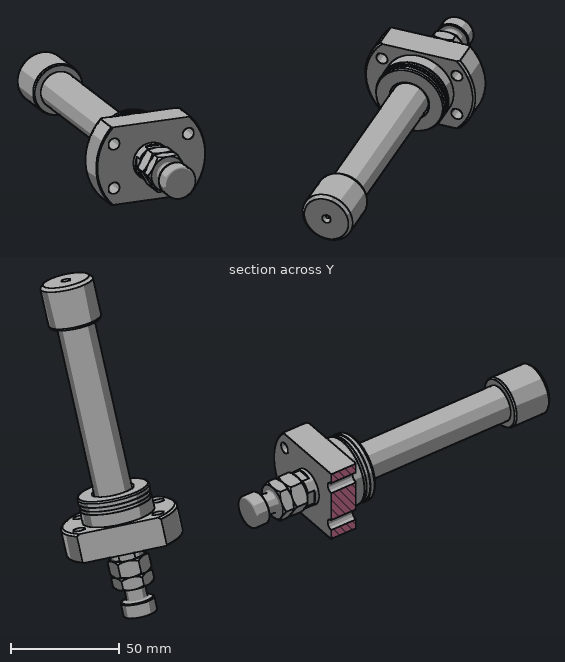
import cadquery as cq
import math


piston_diameter = 25.0
piston_length = 20.5
piston_chamfer = 1.5
piston_back_chamfer_length = 1.0
piston_back_chamfer_depth = 0.5
rod_diameter = 18.0
rod_end = 135.0
rod_shoulder = 129.9
shoulder_taper = 1.0
wrench_diameter = 17.6
wrench_across_flats = 16.0
rod_end_chamfer = 0.5
center_hole_mouth = 4.2
center_hole_diameter = 2.0
center_hole_angle = 60
center_pilot_length = 2.0
drill_tip_angle = 120

spigot_diameter = 34.0
spigot_start = 102.5
spigot_chamfer_length = 0.9
spigot_chamfer_depth = 0.5
groove_start = 105.5
groove_end = 107.4
groove_depth = 0.5
land_end = 108.9
land_depth = 0.25
bore_chamfer = 1.0
flange_start = 114.9
flange_thickness = 14.0
flange_diameter = 55.0
flange_height = 38.0
flange_front_chamfer = 1.0
flange_back_chamfer = 0.5
bolt_circle_diameter = 43.0
bolt_hole_diameter = 5.5
bolt_hole_angle = 30

hex_across_flats = 17.0
rear_hex_length = 8.0
front_hex_length = 6.0
hex_chamfer_length = 1.0
neck_diameter = 10.0
neck_fillet = 1.0
head_diameter = 16.0
head_start = 155.8
head_end = 163.0
head_back_chamfer = 0.5
head_front_fillet = 1.0


def cylinder_x(diameter, start, end):
    """Solid cylinder on the X axis between two stations."""
    return cq.Workplane("YZ", origin=(start, 0, 0)).circle(diameter / 2).extrude(end - start)


def revolve_profile(points):
    """Solid of revolution about X from (x, radius) points."""
    return cq.Workplane("XY").polyline(points).close().revolve(360, (0, 0, 0), (1, 0, 0))


def make_center_hole():
    """Cutter for the lathe centre hole in the piston face."""
    mouth_radius = center_hole_mouth / 2
    radius = center_hole_diameter / 2
    cone_end = (mouth_radius - radius) / math.tan(math.radians(center_hole_angle / 2))
    pilot_end = cone_end + center_pilot_length
    tip = pilot_end + radius / math.tan(math.radians(drill_tip_angle / 2))
    return revolve_profile([(0, 0), (0, mouth_radius), (cone_end, radius), (pilot_end, radius), (tip, 0)])


def make_piston_rod():
    piston_radius = piston_diameter / 2
    piston = revolve_profile([
        (0, 0),
        (0, piston_radius - piston_chamfer),
        (piston_chamfer, piston_radius),
        (piston_length - piston_back_chamfer_length, piston_radius),
        (piston_length, piston_radius - piston_back_chamfer_depth),
        (piston_length, 0),
    ])
    shaft = cylinder_x(rod_diameter, piston_length, rod_shoulder)

    flats_start = rod_shoulder + shoulder_taper
    taper = revolve_profile([
        (rod_shoulder, 0),
        (rod_shoulder, rod_diameter / 2),
        (flats_start, wrench_diameter / 2),
        (flats_start, 0),
    ])
    wrench_section = cylinder_x(wrench_diameter, flats_start, rod_end).faces(">X").chamfer(rod_end_chamfer)
    square = cq.Workplane("YZ", origin=(flats_start, 0, 0)).rect(wrench_across_flats, wrench_across_flats)
    wrench_section = wrench_section.intersect(square.extrude(rod_end - flats_start))

    rod = piston.union(shaft).union(taper).union(wrench_section)
    return rod.cut(make_center_hole())


def make_flange():
    """Round flange with chamfered rims, trimmed flat above and below, with four bolt holes."""
    flange_end = flange_start + flange_thickness
    flange = cylinder_x(flange_diameter, flange_start, flange_end)
    flange = flange.faces("<X").chamfer(flange_front_chamfer)
    flange = flange.faces(">X").chamfer(flange_back_chamfer)
    slab = cq.Workplane("YZ", origin=(flange_start, 0, 0)).rect(flange_diameter, flange_height)
    flange = flange.intersect(slab.extrude(flange_thickness))

    hole_y = bolt_circle_diameter / 2 * math.cos(math.radians(bolt_hole_angle))
    hole_z = bolt_circle_diameter / 2 * math.sin(math.radians(bolt_hole_angle))
    holes = (
        cq.Workplane("YZ", origin=(flange_start, 0, 0))
        .rect(2 * hole_y, 2 * hole_z, forConstruction=True)
        .vertices()
        .circle(bolt_hole_diameter / 2)
        .extrude(flange_thickness)
    )
    return flange.cut(holes)


def make_rod_cover():
    spigot_radius = spigot_diameter / 2
    groove_radius = spigot_radius - groove_depth
    land_radius = spigot_radius - land_depth
    spigot = revolve_profile([
        (spigot_start, 0),
        (spigot_start, spigot_radius - spigot_chamfer_depth),
        (spigot_start + spigot_chamfer_length, spigot_radius),
        (groove_start, spigot_radius),
        (groove_start, groove_radius),
        (groove_end, groove_radius),
        (groove_end, land_radius),
        (land_end, land_radius),
        (land_end, spigot_radius),
        (flange_start, spigot_radius),
        (flange_start, 0),
    ])

    bore_end = flange_start + flange_thickness
    bore_radius = rod_diameter / 2
    bore = revolve_profile([
        (spigot_start, 0),
        (spigot_start, bore_radius + bore_chamfer),
        (spigot_start + bore_chamfer, bore_radius),
        (bore_end, bore_radius),
        (bore_end, 0),
    ])
    return spigot.union(make_flange()).cut(bore)


def make_hex(start, length):
    """Hexagon with flats above and below, its corners turned off at both ends."""
    corner_radius = hex_across_flats / math.sqrt(3)
    face_radius = hex_across_flats / 2
    end = start + length
    prism = cq.Workplane("YZ", origin=(start, 0, 0)).polygon(6, 2 * corner_radius).extrude(length)
    turned_blank = revolve_profile([
        (start, 0),
        (start, face_radius),
        (start + hex_chamfer_length, corner_radius),
        (end - hex_chamfer_length, corner_radius),
        (end, face_radius),
        (end, 0),
    ])
    return prism.intersect(turned_blank)


def make_neck(start):
    """Neck flared by a fillet into the faces at both of its ends."""
    radius = neck_diameter / 2
    flare_radius = radius + neck_fillet
    arc_inset = neck_fillet * (1 - math.sqrt(0.5))
    profile = (
        cq.Workplane("XY")
        .moveTo(start, 0)
        .lineTo(start, flare_radius)
        .threePointArc((start + arc_inset, radius + arc_inset), (start + neck_fillet, radius))
        .lineTo(head_start - neck_fillet, radius)
        .threePointArc((head_start - arc_inset, radius + arc_inset), (head_start, flare_radius))
        .lineTo(head_start, 0)
        .close()
    )
    return profile.revolve(360, (0, 0, 0), (1, 0, 0))


def make_coupling_stud():
    front_hex_start = rod_end + rear_hex_length
    neck_start = front_hex_start + front_hex_length
    head = cylinder_x(head_diameter, head_start, head_end)
    head = head.faces("<X").chamfer(head_back_chamfer)
    head = head.faces(">X").edges().fillet(head_front_fillet)

    stud = make_hex(rod_end, rear_hex_length)
    stud = stud.union(make_hex(front_hex_start, front_hex_length))
    return stud.union(make_neck(neck_start)).union(head)


piston_rod = make_piston_rod()
rod_cover = make_rod_cover()
coupling_stud = make_coupling_stud()

result = cq.Compound.makeCompound([piston_rod.val(), rod_cover.val(), coupling_stud.val()])